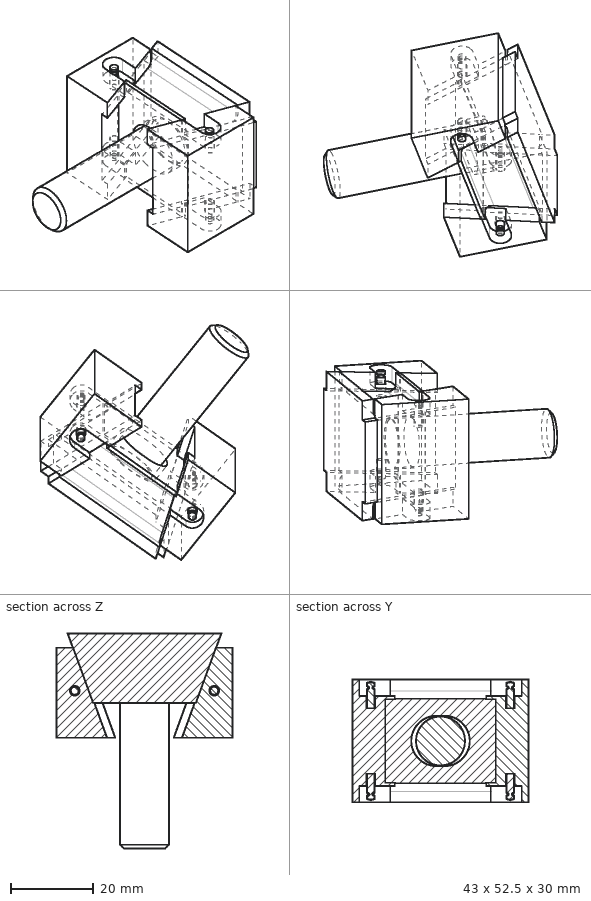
import cadquery as cq
import math


clamp_width = 43.0
clamp_height = 30.0
clamp_length = 52.5
half_height = clamp_height / 2

taper = math.radians(20)
jaw_back = 3.5
jaw_front = 25.5
mouth_half_width = 7.1
tongue_height = 20.5
tongue_offset = 2.4
groove_offset = 2.0

wedge_length = 17.0
back_flange = 3.0
front_flange = 1.0
recess_depth = (clamp_height - tongue_height) / 2
recess_radius = 2.0

stud_diameter = 12.0
stud_chamfer = 1.0
slot_width = 14.2
slot_height = 12.2
slot_depth = 5.0
slot_floor = wedge_length - slot_depth

pin_x = 17.0
pin_y = -14.0
pocket_width = 5.5
pocket_depth = 4.0
pin_diameter = 2.0
pin_hole_diameter = 2.3
pin_hole_depth = 3.0
pin_tip_recess = 0.6
dome_height = 0.3
head_height = 0.75
groove_width = 0.7
groove_depth = 0.35


def half_width(y, offset=0.0):
    """Half width of the taper at y, widened by offset."""
    return mouth_half_width + (jaw_front + y) * math.tan(taper) + offset


def taper_block(back_y, front_y, height, offset=0.0):
    """Symmetric tapered prism, centred on Z = 0."""
    back = half_width(back_y, offset)
    front = half_width(front_y, offset)
    outline = [(-back, back_y), (back, back_y), (front, front_y), (-front, front_y)]
    return cq.Workplane("XY").polyline(outline).close().extrude(height / 2, both=True)


def recess(side):
    """Round-cornered channel along X in the top (side = 1) or bottom (side = -1)."""
    length = wedge_length - back_flange - front_flange
    center_y = -back_flange - length / 2
    channel = cq.Workplane("XY").box(clamp_width, length, 2 * recess_depth)
    channel = channel.edges("|X").fillet(recess_radius)
    return channel.translate((0, center_y, side * half_height))


def wedge_tongues():
    """Wider middle layer of the wedge, forming a tongue on each side."""
    return taper_block(0, -wedge_length, tongue_height, tongue_offset)


def make_wedge():
    core = taper_block(0, -wedge_length, clamp_height)
    for side in (1, -1):
        core = core.cut(recess(side))
    stud_slot = (
        cq.Workplane("XZ", origin=(0, -slot_floor, 0))
        .slot2D(slot_width, slot_height)
        .extrude(slot_depth)
    )
    return core.union(wedge_tongues()).cut(stud_slot)


def make_stud():
    start = cq.Workplane("XZ", origin=(0, -slot_floor, 0))
    stud = start.circle(stud_diameter / 2).extrude(clamp_length - slot_floor)
    return stud.faces("<Y").chamfer(stud_chamfer)


def pocket(z_side):
    """Round-ended slot across both jaws, leaving a spring pocket open toward the wedge in each."""
    outer_end = pin_x + pocket_width / 2
    shape = (
        cq.Workplane("XY")
        .center(0, pin_y)
        .slot2D(2 * outer_end, pocket_width)
        .extrude(pocket_depth, both=True)
    )
    return shape.translate((0, 0, z_side * half_height))


def pin_hole(x_side, z_side):
    """Blind clearance hole for a pin in the floor of a pocket."""
    hole = (
        cq.Workplane("XY")
        .circle(pin_hole_diameter / 2)
        .extrude(pocket_depth + pin_hole_depth, both=True)
    )
    return hole.translate((x_side * pin_x, pin_y, z_side * half_height))


def make_jaw(x_side):
    length = jaw_front - jaw_back
    block = cq.Workplane("XY").box(clamp_width / 2, length, clamp_height)
    block = block.translate((x_side * clamp_width / 4, -(jaw_front + jaw_back) / 2, 0))
    jaw = block.cut(taper_block(-jaw_back, -jaw_front, clamp_height))
    jaw = jaw.cut(taper_block(-jaw_back, -jaw_front, tongue_height, groove_offset))
    jaw = jaw.cut(wedge_tongues())
    for z_side in (1, -1):
        jaw = jaw.cut(pocket(z_side))
        jaw = jaw.cut(pin_hole(x_side, z_side))
    return jaw


def make_pin(x_side, z_side):
    """Domed pin with a spring groove, standing on the bottom of its hole."""
    radius = pin_diameter / 2
    foot = half_height - pocket_depth - pin_hole_depth
    apex = half_height - pin_tip_recess
    rim = apex - dome_height
    groove_top = rim - head_height
    groove_bottom = groove_top - groove_width
    groove_middle = (radius - groove_depth, (groove_top + groove_bottom) / 2)
    dome_radius = (radius**2 + dome_height**2) / (2 * dome_height)
    mid_radius = radius / 2
    mid_z = apex - dome_radius + math.sqrt(dome_radius**2 - mid_radius**2)
    pin = (
        cq.Workplane("XZ")
        .moveTo(0, foot)
        .lineTo(radius, foot)
        .lineTo(radius, groove_bottom)
        .threePointArc(groove_middle, (radius, groove_top))
        .lineTo(radius, rim)
        .threePointArc((mid_radius, mid_z), (0, apex))
        .close()
        .revolve(360, (0, 0, 0), (0, 1, 0))
    )
    if z_side < 0:
        pin = pin.mirror("XY")
    return pin.translate((x_side * pin_x, pin_y, 0))


wedge = make_wedge()
stud = make_stud()
jaws = [make_jaw(x_side) for x_side in (-1, 1)]
pins = [make_pin(x_side, z_side) for x_side in (-1, 1) for z_side in (-1, 1)]

result = cq.Compound.makeCompound([body.val() for body in [wedge, stud, *jaws, *pins]])